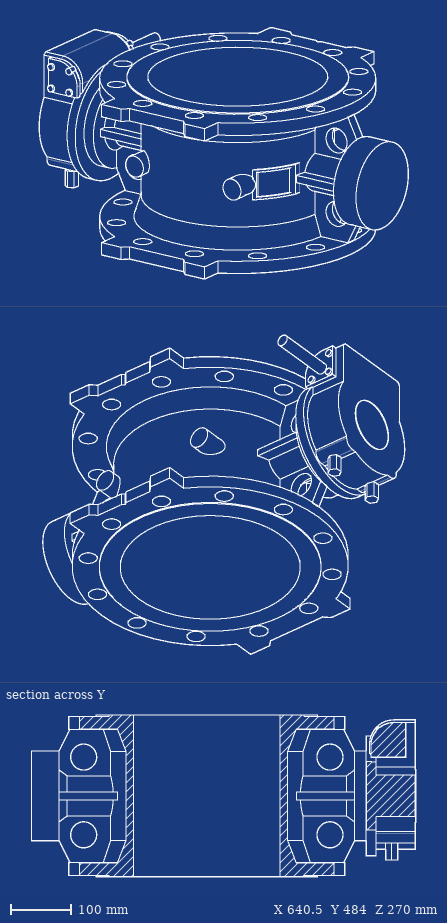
import cadquery as cq
import math


bore_diameter = 300.0
body_radius = 161.0
neck_radius = 173.0
neck_start_z = 74.5
body_height = 270.0
body_half_height = body_height / 2

flange_radius = 230.0
flange_outer_z = 133.0
flange_inner_z = 111.0
raised_face_diameter = 370.0
bolt_circle_radius = 204.5
bolt_hole_diameter = 30.0
bolt_count = 12
ear_half_width = 106.0
ear_span = 484.0
ear_half_length = ear_span / 2
ear_recess_half_width = 55.0
ear_recess_depth = 10.0
notch_half_width = 5.0
notch_depth = 4.0

shaft_y = 5.45
bearing_radius = 34.5
bearing_cone_end_radius = 44.0
support_end_x = 246.0
cone_length = 13.5
rib_half_width = 55.0
rib_thickness = 13.0
web_thickness = 18.0
web_foot_x = 228.0
lifting_hole_diameter = 43.0
lifting_hole_x = 205.0
lifting_hole_z = 65.0
pad_diameter = 150.0
end_cap_x = 292.0

pin_diameter = 36.5
pin_x = 100.0
pin_end_y = 156.0
frame_x_min = 115.0
frame_x_max = 156.0
frame_height = 52.5
frame_rim = 4.5
frame_rise = 3.0

mount_face_x = -265.5
mount_thickness = 16.5
mount_diameter = 200.0
housing_back_x = mount_face_x - mount_thickness
housing_front_x = -347.5
housing_radius = 89.0
cover_diameter = 88.0
cover_rise = 1.0
worm_box_half_width = 75.0
worm_box_top_z = 127.0
worm_box_bottom_z = 64.0
worm_box_back_x = -271.0
worm_box_back_radius = 40.5
worm_box_edge_chamfer = 4.5
foot_half_width = 66.5
foot_bottom_z = -78.0
foot_fillet = 15.5

plate_thickness = 9.0
plate_front_x = -331.5
plate_back_x = -273.0
plate_top_z = 122.5
plate_corner_radius = 38.5
screw_diameter = 11.5
screw_head_height = 4.0
screw_xs = (-325.0, -288.0)
screw_zs = (71.0, 109.0)

worm_axis_x = -308.5
worm_axis_z = 85.0
input_shaft_diameter = 20.0
input_shaft_end_y = 195.0
stop_bolt_offset_y = 50.0
stop_bolt_width = 20.0
stop_bolt_turn = 5.0
stop_bolt_end_z = -107.0


def cylinder_x(x_start, x_end, radius):
    """Solid cylinder on the disc shaft axis."""
    return cq.Workplane("YZ", origin=(x_start, shaft_y, 0)).circle(radius).extrude(x_end - x_start)


def cylinder_y(x, z, y_start, y_end, radius):
    """Solid cylinder along Y."""
    plane = cq.Plane(origin=(x, y_start, z), xDir=(1, 0, 0), normal=(0, 1, 0))
    return cq.Workplane(plane).circle(radius).extrude(y_end - y_start)


def block(x_min, x_max, y_min, y_max, z_min, z_max):
    """Box given by its limits along each axis."""
    size = (x_max - x_min, y_max - y_min, z_max - z_min)
    return cq.Workplane("XY").box(*size, centered=False).translate((x_min, y_min, z_min))


def make_barrel():
    """Turned body with conical necks and raised faces, still without the bore."""
    face_radius = raised_face_diameter / 2
    profile = [
        (0, -body_half_height),
        (face_radius, -body_half_height),
        (face_radius, -flange_outer_z),
        (neck_radius, -flange_inner_z),
        (body_radius, -neck_start_z),
        (body_radius, neck_start_z),
        (neck_radius, flange_inner_z),
        (face_radius, flange_outer_z),
        (face_radius, body_half_height),
        (0, body_half_height),
    ]
    return cq.Workplane("XZ").polyline(profile).close().revolve(360, (0, 0), (0, 1))


def make_flange():
    """Round flange with two square-ended ears, lying on Z = 0."""
    thickness = flange_outer_z - flange_inner_z
    recess_y = ear_half_length - ear_recess_depth
    recess_mouth = ear_recess_half_width + ear_recess_depth
    flange = cq.Workplane("XY").circle(flange_radius).extrude(thickness)
    ears = cq.Workplane("XY").rect(2 * ear_half_width, ear_span).extrude(thickness)
    flange = flange.union(ears)
    for side in (1, -1):
        recess = (
            cq.Workplane("XY")
            .moveTo(-recess_mouth, side * ear_half_length)
            .lineTo(-ear_recess_half_width, side * recess_y)
            .lineTo(ear_recess_half_width, side * recess_y)
            .lineTo(recess_mouth, side * ear_half_length)
            .close()
            .extrude(thickness)
        )
        flange = flange.cut(recess)
    notch = (
        cq.Workplane("XY")
        .moveTo(-notch_half_width, recess_y)
        .lineTo(0, recess_y - notch_depth)
        .lineTo(notch_half_width, recess_y)
        .close()
        .extrude(thickness)
    )
    first_hole_angle = 180 / bolt_count
    holes = (
        cq.Workplane("XY")
        .polarArray(bolt_circle_radius, first_hole_angle, 360, bolt_count)
        .circle(bolt_hole_diameter / 2)
        .extrude(thickness)
    )
    return flange.cut(notch).cut(holes)


def make_supports():
    """Shaft bearings, ribs and drilled webs that run through both sides of the body."""
    half_rib = rib_thickness / 2
    supports = cylinder_x(-support_end_x, support_end_x, bearing_radius)
    ribs = block(
        -support_end_x, support_end_x,
        shaft_y - rib_half_width, shaft_y + rib_half_width,
        -half_rib, half_rib,
    )
    web_corner_z = pad_diameter / 2
    web = (
        cq.Workplane("XZ", origin=(0, shaft_y + web_thickness / 2, 0))
        .moveTo(-web_foot_x, -flange_inner_z)
        .lineTo(web_foot_x, -flange_inner_z)
        .lineTo(support_end_x, -web_corner_z)
        .lineTo(support_end_x, web_corner_z)
        .lineTo(web_foot_x, flange_inner_z)
        .lineTo(-web_foot_x, flange_inner_z)
        .lineTo(-support_end_x, web_corner_z)
        .lineTo(-support_end_x, -web_corner_z)
        .close()
        .extrude(web_thickness)
    )
    for x in (-lifting_hole_x, lifting_hole_x):
        for z in (-lifting_hole_z, lifting_hole_z):
            hole = cylinder_y(x, z, -rib_half_width, rib_half_width, lifting_hole_diameter / 2)
            web = web.cut(hole)
    supports = supports.union(ribs).union(web)
    for side in (1, -1):
        cone = cq.Solid.makeCone(
            bearing_cone_end_radius, bearing_radius, cone_length,
            pnt=cq.Vector(side * support_end_x, shaft_y, 0), dir=cq.Vector(-side, 0, 0),
        )
        supports = supports.union(cq.Workplane("XY").add(cone))
    return supports


def make_pins():
    """Two round pins through the body, parallel to Y."""
    left = cylinder_y(-pin_x, 0, -pin_end_y, pin_end_y, pin_diameter / 2)
    return left.union(left.mirror("YZ"))


def make_name_frame():
    """Thin rectangular frame wrapped on the -Y, +X quarter of the body."""
    half_height = frame_height / 2
    outer = block(frame_x_min, frame_x_max, -body_radius, 0, -half_height, half_height)
    inner = block(
        frame_x_min + frame_rim, frame_x_max - frame_rim, -body_radius, 0,
        frame_rim - half_height, half_height - frame_rim,
    )
    shell = (
        cq.Workplane("XY", origin=(0, 0, -half_height))
        .circle(body_radius + frame_rise)
        .extrude(frame_height)
    )
    return shell.intersect(outer.cut(inner))


def make_housing():
    """Gear housing: round case, worm box on top and two rounded feet below."""
    case = cylinder_x(housing_front_x, housing_back_x, housing_radius)
    cover = cylinder_x(housing_front_x - cover_rise, housing_front_x, cover_diameter / 2)
    y_min = shaft_y - worm_box_half_width
    y_max = shaft_y + worm_box_half_width
    neck = block(housing_front_x, housing_back_x, y_min, y_max, 0, worm_box_bottom_z)
    worm_box = block(
        housing_front_x, worm_box_back_x, y_min, y_max, worm_box_bottom_z, worm_box_top_z
    )
    worm_box = worm_box.edges(">X and >Z").fillet(worm_box_back_radius)
    worm_box = worm_box.faces(">Z").edges("|X").chamfer(worm_box_edge_chamfer)
    feet = block(
        housing_front_x, housing_back_x,
        shaft_y - foot_half_width, shaft_y + foot_half_width,
        foot_bottom_z, 0,
    )
    feet = feet.edges("|X and <Z").fillet(foot_fillet)
    return case.union(cover).union(neck).union(worm_box).union(feet)


def make_side_plate(side):
    """Worm box side plate with four screw heads; side is +1 for +Y and -1 for -Y."""
    inner_y = shaft_y + side * worm_box_half_width
    outer_y = inner_y + side * plate_thickness
    head_y = outer_y + side * screw_head_height
    plate = block(
        plate_front_x, plate_back_x, min(inner_y, outer_y), max(inner_y, outer_y),
        worm_box_bottom_z, plate_top_z,
    )
    plate = plate.edges(">X and >Z").fillet(plate_corner_radius)
    for x in screw_xs:
        for z in screw_zs:
            plate = plate.union(cylinder_y(x, z, inner_y, head_y, screw_diameter / 2))
    return plate


def make_stop_bolt(side):
    """Hexagonal stop bolt under one housing foot."""
    corner_diameter = stop_bolt_width / math.cos(math.radians(30))
    center = (worm_axis_x, shaft_y + side * stop_bolt_offset_y, stop_bolt_end_z)
    return (
        cq.Workplane("XY")
        .polygon(6, corner_diameter)
        .extrude(foot_bottom_z - stop_bolt_end_z)
        .rotate((0, 0, 0), (0, 0, 1), 90 - stop_bolt_turn)
        .translate(center)
    )


def make_actuator():
    """Complete gear actuator with its mounting flange."""
    actuator = make_housing().union(cylinder_x(housing_back_x, mount_face_x, mount_diameter / 2))
    for side in (1, -1):
        actuator = actuator.union(make_side_plate(side)).union(make_stop_bolt(side))
    input_shaft = cylinder_y(
        worm_axis_x, worm_axis_z, shaft_y, input_shaft_end_y, input_shaft_diameter / 2
    )
    return actuator.union(input_shaft)


upper_flange = make_flange().translate((0, 0, flange_inner_z))
lower_flange = make_flange().translate((0, 0, -flange_outer_z))
valve = make_barrel().union(upper_flange).union(lower_flange)
valve = valve.union(make_supports()).union(make_pins()).union(make_name_frame())

actuator_pad = cylinder_x(mount_face_x, -support_end_x, pad_diameter / 2)
end_cap = cylinder_x(support_end_x, end_cap_x, pad_diameter / 2)
valve = valve.union(actuator_pad).union(end_cap)

bore = (
    cq.Workplane("XY", origin=(0, 0, -body_half_height))
    .circle(bore_diameter / 2)
    .extrude(body_height)
)
result = valve.cut(bore).union(make_actuator())